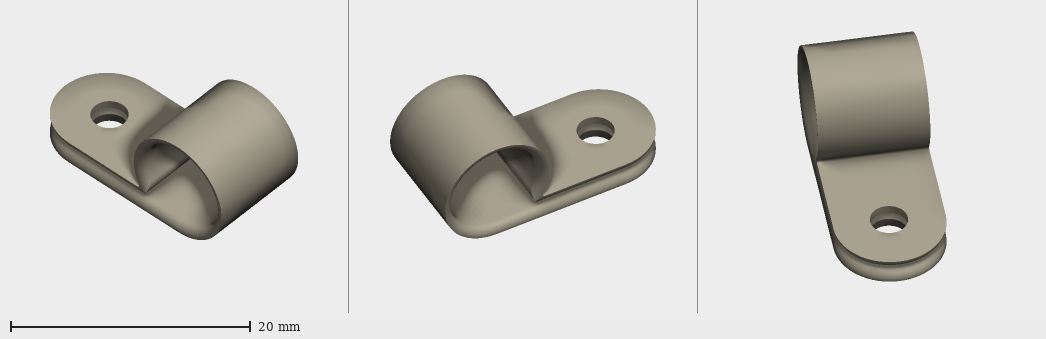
import cadquery as cq
import math

length = 22.0
width = 9.5
height = 9.9
thickness = 0.8

loop_radius = height / 2
bore_radius = loop_radius - thickness
loop_x = length - loop_radius
loop_z = loop_radius
loop_end_x = 12.7

upper_tab_bottom = 1.5
upper_tab_top = upper_tab_bottom + thickness
hole_diameter = 3.2
hole_x = 5.05
edge_round = 0.77

end_cos = (loop_end_x - loop_x) / loop_radius
end_sin = -math.sqrt(1 - end_cos**2)

bore_end_z = loop_z + bore_radius * end_sin
bend_radius = (bore_end_z - upper_tab_bottom) / (1 - end_sin)
bend_x = loop_x + (bore_radius + bend_radius) * end_cos
bend_z = upper_tab_bottom + bend_radius
groove_radius = bend_radius - thickness


def loop_point(radius, direction_x, direction_z):
    return (loop_x + radius * direction_x, loop_z + radius * direction_z)


def make_strip():
    """Side profile of the folded strip, extruded across the width."""
    return (
        cq.Workplane("XZ")
        .moveTo(0, 0)
        .lineTo(loop_x, 0)
        .threePointArc(loop_point(loop_radius, 0, 1), loop_point(loop_radius, end_cos, end_sin))
        .threePointArc((bend_x + groove_radius, bend_z), (bend_x, upper_tab_top))
        .lineTo(0, upper_tab_top)
        .lineTo(0, upper_tab_bottom)
        .lineTo(bend_x, upper_tab_bottom)
        .threePointArc((bend_x + bend_radius, bend_z), loop_point(bore_radius, end_cos, end_sin))
        .threePointArc(loop_point(bore_radius, 0, 1), loop_point(bore_radius, 0, -1))
        .lineTo(0, thickness)
        .close()
        .extrude(width / 2, both=True)
    )


def make_plate(bottom, depth):
    """Flat plate with the plan outline of the clip and a semicircular tab end."""
    end_radius = width / 2
    return (
        cq.Workplane("XY")
        .workplane(offset=bottom)
        .moveTo(end_radius, -end_radius)
        .lineTo(length, -end_radius)
        .lineTo(length, end_radius)
        .lineTo(end_radius, end_radius)
        .threePointArc((0, 0), (end_radius, -end_radius))
        .close()
        .extrude(depth)
    )


def make_rounded_plate(bottom, inner_z):
    """Tab plate with its rim rounded at the height of its inner face."""
    rim_point = (loop_x, -width / 2, inner_z)
    return (
        make_plate(bottom, thickness)
        .edges(cq.selectors.NearestToPointSelector(rim_point))
        .fillet(edge_round)
    )


def make_tab_gap():
    """Space between the tabs, flaring out at the rounded rims as far as the loop axis."""
    gap = cq.Workplane("XY").box(loop_x, width, upper_tab_top, centered=(False, True, False))
    lower_plate = make_rounded_plate(0, thickness)
    upper_plate = make_rounded_plate(upper_tab_bottom, upper_tab_bottom)
    return gap.cut(lower_plate).cut(upper_plate)


def make_flared_bore():
    """Bore of the loop, flaring out at both ends by the edge rounding."""
    flare_radius = bore_radius + edge_round
    flare_start = width / 2 - edge_round
    diagonal = edge_round * math.sqrt(0.5)
    mid_radius = flare_radius - diagonal
    mid_y = flare_start + diagonal
    return (
        cq.Workplane("XY")
        .moveTo(0, -width / 2)
        .lineTo(flare_radius, -width / 2)
        .threePointArc((mid_radius, -mid_y), (bore_radius, -flare_start))
        .lineTo(bore_radius, flare_start)
        .threePointArc((mid_radius, mid_y), (flare_radius, width / 2))
        .lineTo(0, width / 2)
        .close()
        .revolve(360, (0, 0, 0), (0, 1, 0))
        .translate((loop_x, 0, loop_z))
    )


def make_screw_hole():
    """Hole through both tabs."""
    return cq.Workplane("XY").center(hole_x, 0).circle(hole_diameter / 2).extrude(upper_tab_top)


clip = make_strip().intersect(make_plate(0, height))

clip = clip.cut(make_tab_gap()).cut(make_flared_bore())

result = clip.cut(make_screw_hole())